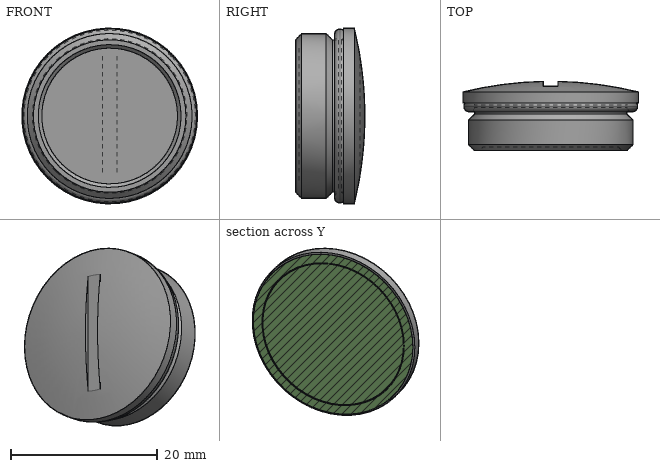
import cadquery as cq

flange_radius = 12.0
body_radius = 22.5 / 2
neck_radius = 20.8 / 2
crown_height = 9.48

body_chamfer_end = 0.85
body_end = 4.18
neck_start = 5.02
ring_start = 5.3
flange_start = 6.53
flange_end = 8.02

ring_outer_radius = 11.88
ring_overlap = 0.02
ring_section_radius = (ring_outer_radius - neck_radius + ring_overlap) / 2

recess_rim_radius = 9.75
recess_floor_radius = 9.26
recess_depth = 0.48

slot_width = 2.0
slot_depth = 0.67


def revolve_about_y(profile):
    return profile.close().revolve(360, (0, 0, 0), (0, 1, 0))


def make_body():
    """Recessed body, neck, flange and spherical dome in one profile."""
    dome_height = crown_height - flange_end
    sphere_radius = (flange_radius**2 + dome_height**2) / (2 * dome_height)
    mid_radius = flange_radius / 2
    mid_y = crown_height - sphere_radius + (sphere_radius**2 - mid_radius**2) ** 0.5
    profile = (
        cq.Workplane("XY")
        .moveTo(0, recess_depth)
        .lineTo(recess_floor_radius, recess_depth)
        .lineTo(recess_rim_radius, 0)
        .lineTo(neck_radius, 0)
        .lineTo(body_radius, body_chamfer_end)
        .lineTo(body_radius, body_end)
        .lineTo(neck_radius, neck_start)
        .lineTo(neck_radius, flange_start)
        .lineTo(flange_radius, flange_start)
        .lineTo(flange_radius, flange_end)
        .threePointArc((mid_radius, mid_y), (0, crown_height))
    )
    return revolve_about_y(profile)


def make_ring():
    """Round-section ring, pressed slightly into the neck and the flange."""
    centre_radius = ring_outer_radius - ring_section_radius
    section = cq.Workplane("XY").center(centre_radius, ring_start + ring_section_radius)
    axis_start = (-centre_radius, 0, 0)
    axis_end = (-centre_radius, 1, 0)
    return section.circle(ring_section_radius).revolve(360, axis_start, axis_end)


def make_slot():
    slot = cq.Workplane("XY").box(slot_width, 2 * slot_depth, 2 * flange_radius)
    return slot.translate((0, crown_height, 0))


result = make_body().union(make_ring()).cut(make_slot())